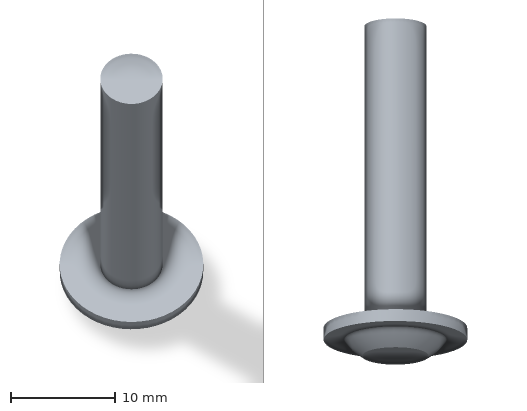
import cadquery as cq

total_length = 32.8
shank_diameter = 6.0
shank_length = 30.0

flange_diameter = 13.8
flange_thickness = 1.18

dome_base_diameter = 9.9
dome_end_diameter = 6.4
dome_bulge = 0.13

flange_bottom = -flange_thickness
head_bottom = shank_length - total_length


def make_shank():
    return cq.Workplane("XY").circle(shank_diameter / 2).extrude(shank_length)


def make_head():
    """Revolve the half profile of the flange and dome about Z."""
    dome_base = (dome_base_diameter / 2, flange_bottom)
    dome_end = (dome_end_diameter / 2, head_bottom)
    return (
        cq.Workplane("XZ")
        .lineTo(flange_diameter / 2, 0)
        .lineTo(flange_diameter / 2, flange_bottom)
        .lineTo(*dome_base)
        .sagittaArc(dome_end, dome_bulge)
        .lineTo(0, head_bottom)
        .close()
        .revolve(360, (0, 0, 0), (0, 1, 0))
    )


result = make_head().union(make_shank())